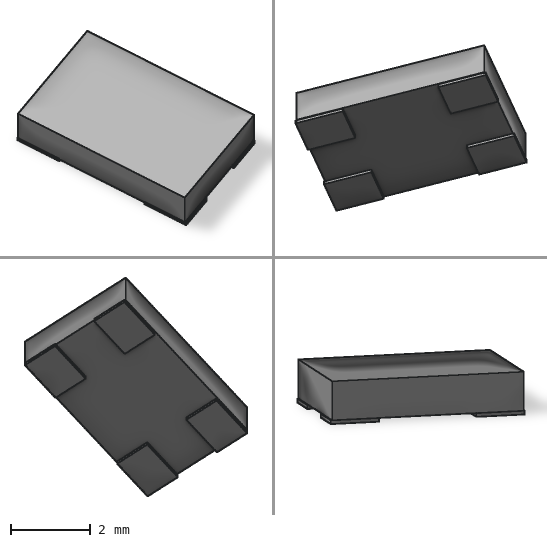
import cadquery as cq

housing_length = 5.0
housing_width = 3.2
housing_height = 1.0

pad_length = 1.26
pad_width = 0.96
pad_thickness = 0.1
pad_end_overhang = 0.03
pad_side_inset = 0.02

pad_center_x = housing_length / 2 + pad_end_overhang - pad_length / 2
pad_center_y = housing_width / 2 - pad_side_inset - pad_width / 2


def make_housing():
    """Plain rectangular block resting on top of the pads."""
    return (
        cq.Workplane("XY")
        .workplane(offset=pad_thickness)
        .rect(housing_length, housing_width)
        .extrude(housing_height)
    )


def make_pad(center_x, center_y):
    """Flat terminal pad with its underside at Z = 0."""
    return (
        cq.Workplane("XY")
        .center(center_x, center_y)
        .rect(pad_length, pad_width)
        .extrude(pad_thickness)
    )


housing = make_housing()

pads = []
for x_side in (-1, 1):
    for y_side in (-1, 1):
        pad = make_pad(x_side * pad_center_x, y_side * pad_center_y)
        pads.append(pad.val())

result = cq.Compound.makeCompound([housing.val(), *pads])